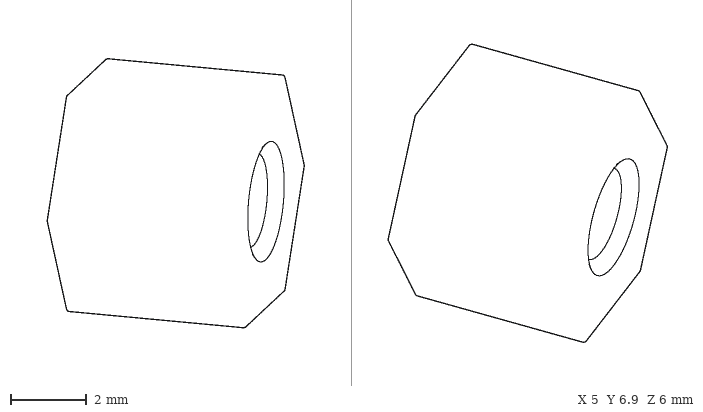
import cadquery as cq
import math

length = 5.0
width_over_rounded_corners = 6.9
edge_radius = 0.1
bore_diameter = 2.5
countersink_diameter = 3.2
countersink_angle = 90.0

corner_setback = edge_radius * (1 / math.cos(math.radians(30)) - 1)
sharp_width = width_over_rounded_corners + 2 * corner_setback
countersink_depth = (
    (countersink_diameter - bore_diameter) / 2 / math.tan(math.radians(countersink_angle / 2))
)


def rounded_hexagon():
    """Hexagonal bar with corners along Y and every edge rounded."""
    bar = cq.Workplane("YZ").polygon(6, sharp_width).extrude(length)
    return bar.edges().fillet(edge_radius)


def countersunk_bore():
    """Through bore with a conical countersink at both ends, as one revolved cutter."""
    bore_radius = bore_diameter / 2
    mouth_radius = countersink_diameter / 2
    half_profile = (
        cq.Workplane("XY")
        .moveTo(0, 0)
        .lineTo(0, mouth_radius)
        .lineTo(countersink_depth, bore_radius)
        .lineTo(length - countersink_depth, bore_radius)
        .lineTo(length, mouth_radius)
        .lineTo(length, 0)
        .close()
    )
    return half_profile.revolve(360, (0, 0, 0), (1, 0, 0))


result = rounded_hexagon().cut(countersunk_bore())